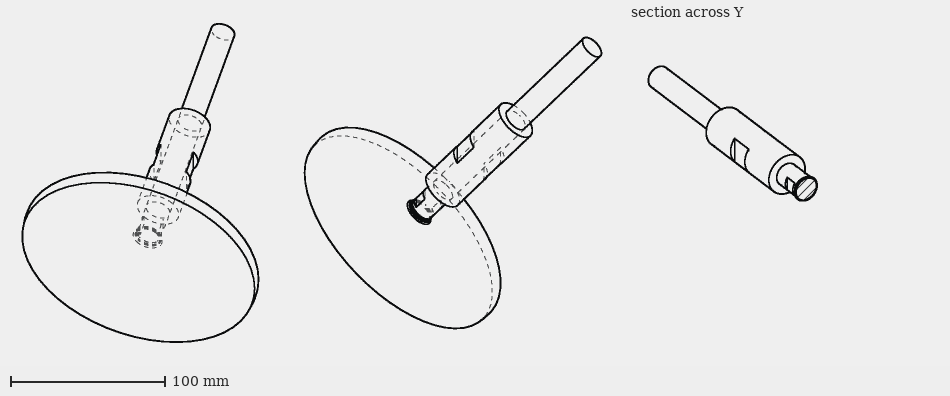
import cadquery as cq
import math


foot_dia = 158.0
face_dia = 156.8
rim_taper_height = 4.2
rim_height = 7.2
rim_fillet = 2.5
cone_angle = 9.8
cone_top_dia = 19.5
collar_dia = 17.3
collar_groove_dia = 16.1
collar_lip = 0.4
collar_height = 2.0
groove_height = 0.8

spindle_dia = 16.0
spindle_top = 199.0
shoulder_height = 24.3
neck_dia = 14.0
spindle_flat_gap = 13.0
spindle_flat_length = 9.0
spindle_flat_start = 26.3

sleeve_dia = 28.0
sleeve_length = 75.0
sleeve_start = 45.5
sleeve_flat_gap = 22.0
sleeve_flat_length = 17.0
sleeve_flat_start = 74.2

cone_slope = math.tan(math.radians(cone_angle))
fillet_tangent = rim_fillet * math.tan(math.radians(90 - cone_angle) / 2)
rim_corner_height = rim_height + fillet_tangent
cone_top_height = rim_corner_height + (foot_dia - cone_top_dia) / 2 * cone_slope
foot_top = cone_top_height + collar_height


def turned(points):
    """Revolve a closed (radius, height) outline about the Y axis."""
    return cq.Workplane("XY").polyline(points).close().revolve(360, (0, 0, 0), (0, 1, 0))


def cut_side_flats(body, gap, start, length, stock_dia):
    """Cut two parallel wrench flats facing -X and +X, a distance gap apart."""
    for side in (-1, 1):
        cutter = cq.Workplane("XY").box(stock_dia, length, 2 * stock_dia)
        offset = (gap + stock_dia) / 2
        body = body.cut(cutter.translate((side * offset, start + length / 2, 0)))
    return body.solids()


def make_foot():
    """Conical disc with a rounded, slightly tapered rim and a grooved collar."""
    foot_radius = foot_dia / 2
    angle = math.radians(cone_angle)
    centre_radius = foot_radius - rim_fillet
    middle_angle = (math.pi / 2 - angle) / 2
    fillet_middle = (
        centre_radius + rim_fillet * math.cos(middle_angle),
        rim_height + rim_fillet * math.sin(middle_angle),
    )
    fillet_end = (
        centre_radius + rim_fillet * math.sin(angle),
        rim_height + rim_fillet * math.cos(angle),
    )
    groove_top = foot_top - collar_lip
    groove_bottom = groove_top - groove_height
    return (
        cq.Workplane("XY")
        .lineTo(face_dia / 2, 0)
        .lineTo(foot_radius, rim_taper_height)
        .lineTo(foot_radius, rim_height)
        .threePointArc(fillet_middle, fillet_end)
        .lineTo(cone_top_dia / 2, cone_top_height)
        .lineTo(collar_dia / 2, groove_bottom)
        .lineTo(collar_groove_dia / 2, groove_bottom)
        .lineTo(collar_groove_dia / 2, groove_top)
        .lineTo(collar_dia / 2, groove_top)
        .lineTo(collar_dia / 2, foot_top)
        .lineTo(0, foot_top)
        .close()
        .revolve(360, (0, 0, 0), (0, 1, 0))
    )


def make_spindle():
    """Long rod standing on the foot, narrowed to a neck at its lower end."""
    rod = turned([
        (0, foot_top),
        (neck_dia / 2, foot_top),
        (spindle_dia / 2, shoulder_height),
        (spindle_dia / 2, spindle_top),
        (0, spindle_top),
    ])
    return cut_side_flats(rod, spindle_flat_gap, spindle_flat_start, spindle_flat_length, spindle_dia)


def make_sleeve():
    """Cylindrical sleeve bored to fit the spindle."""
    inner = spindle_dia / 2
    outer = sleeve_dia / 2
    sleeve_end = sleeve_start + sleeve_length
    tube = turned([
        (inner, sleeve_start),
        (outer, sleeve_start),
        (outer, sleeve_end),
        (inner, sleeve_end),
    ])
    return cut_side_flats(tube, sleeve_flat_gap, sleeve_flat_start, sleeve_flat_length, sleeve_dia)


foot = make_foot()
spindle = make_spindle()
sleeve = make_sleeve()

result = cq.Compound.makeCompound([foot.val(), spindle.val(), sleeve.val()])